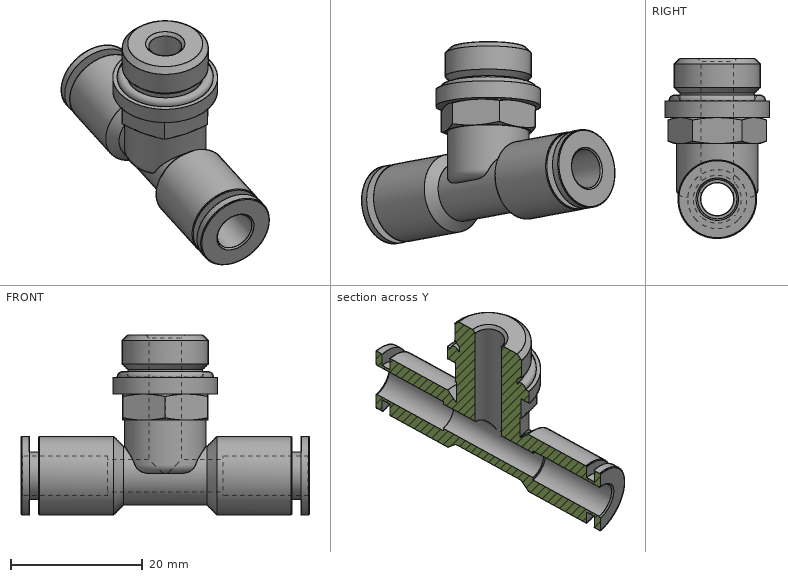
import cadquery as cq
import math

total_length = 44.0
socket_diameter = 12.0
run_neck_diameter = 9.0
collar_neck_diameter = 7.3
collar_thickness = 1.28
collar_gap = 1.4
socket_length = 11.45
edge_chamfer = 0.15

total_height = 27.5
stem_top = total_height - socket_diameter / 2
stem_diameter = 12.5
stem_bottom = 0.3
stem_bottom_round = 1.3
hex_across_flats = 13.02
hex_bottom = 8.5
hex_top = 12.45
hex_chamfer_angle = 20.0
flange_diameter = 16.0
flange_top = 15.0
seal_section_diameter = 1.65
seal_top = 15.9
thread_diameter = 13.15
thread_relief_diameter = 11.45
thread_bottom = 17.05
thread_chamfer = (thread_diameter - thread_relief_diameter) / 2
thread_tip_height = 0.85

passage_diameter = 5.0
tube_diameter = 6.0
tube_depth = 13.2
tube_mouth_diameter = 6.45
stem_mouth_diameter = 6.0

half_length = total_length / 2


def revolve_about_z(profile):
    return profile.close().revolve(360, (0, 0, 0), (0, 1, 0))


def make_run():
    """Revolved run, symmetric about the stem axis, from collar to collar."""
    socket_radius = socket_diameter / 2
    neck_radius = run_neck_diameter / 2
    collar_neck_radius = collar_neck_diameter / 2
    collar_inner = half_length - collar_thickness
    socket_outer = collar_inner - collar_gap
    socket_inner = socket_outer - socket_length
    cone_inner = socket_inner - (socket_radius - neck_radius)
    right_side = [
        (cone_inner, neck_radius),
        (socket_inner, socket_radius),
        (socket_outer - edge_chamfer, socket_radius),
        (socket_outer, socket_radius - edge_chamfer),
        (socket_outer, collar_neck_radius),
        (collar_inner, collar_neck_radius),
        (collar_inner, socket_radius),
        (half_length - edge_chamfer, socket_radius),
        (half_length, socket_radius - edge_chamfer),
        (half_length, 0),
    ]
    left_side = [(-x, radius) for x, radius in reversed(right_side)]
    return (
        cq.Workplane("XY")
        .polyline(left_side + right_side)
        .close()
        .revolve(360, (0, 0, 0), (1, 0, 0))
    )


def make_trunk():
    """Round trunk with a rounded lower edge."""
    return (
        cq.Workplane("XY", origin=(0, 0, stem_bottom))
        .circle(stem_diameter / 2)
        .extrude(hex_bottom - stem_bottom)
        .faces("<Z").edges().fillet(stem_bottom_round)
    )


def make_hex():
    """Hexagon with corners on the Y axis, chamfered at both ends."""
    corner_radius = hex_across_flats / math.sqrt(3)
    flat_radius = hex_across_flats / 2
    chamfer_height = (corner_radius - flat_radius) * math.tan(math.radians(hex_chamfer_angle))
    prism = (
        cq.Workplane("XY", origin=(0, 0, hex_bottom))
        .polygon(6, 2 * corner_radius)
        .extrude(hex_top - hex_bottom)
        .rotate((0, 0, 0), (0, 0, 1), 90)
    )
    envelope = revolve_about_z(
        cq.Workplane("XZ").polyline([
            (0, hex_bottom),
            (flat_radius, hex_bottom),
            (corner_radius, hex_bottom + chamfer_height),
            (corner_radius, hex_top - chamfer_height),
            (flat_radius, hex_top),
            (0, hex_top),
        ])
    )
    return prism.intersect(envelope)


def make_threaded_end():
    """Flange, relief groove and plain thread cylinder."""
    thread_radius = thread_diameter / 2
    relief_radius = thread_relief_diameter / 2
    return revolve_about_z(
        cq.Workplane("XZ")
        .moveTo(0, hex_top)
        .lineTo(flange_diameter / 2, hex_top)
        .lineTo(flange_diameter / 2, flange_top)
        .lineTo(relief_radius, flange_top)
        .lineTo(relief_radius, thread_bottom - thread_chamfer)
        .lineTo(thread_radius, thread_bottom)
        .lineTo(thread_radius, stem_top - thread_tip_height)
        .lineTo(relief_radius, stem_top)
        .lineTo(0, stem_top)
    )


def make_seal_ring():
    """Round-section seal ring, partly sunk into the flange."""
    section_radius = seal_section_diameter / 2
    ring_radius = thread_relief_diameter / 2 + section_radius
    return (
        cq.Workplane("XZ")
        .center(ring_radius, seal_top - section_radius)
        .circle(section_radius)
        .revolve(360, (-ring_radius, 0, 0), (-ring_radius, 1, 0))
    )


def make_run_bore():
    """Through passage with a wider, chamfered tube bore at each end."""
    bore = cq.Workplane("YZ").circle(passage_diameter / 2).extrude(half_length, both=True)
    mouth_chamfer = (tube_mouth_diameter - tube_diameter) / 2
    tube_bore = (
        cq.Workplane("YZ", origin=(half_length - tube_depth, 0, 0))
        .circle(tube_diameter / 2)
        .extrude(tube_depth)
    )
    mouth = (
        cq.Workplane("YZ", origin=(half_length, 0, 0))
        .circle(tube_mouth_diameter / 2)
        .workplane(offset=-mouth_chamfer)
        .circle(tube_diameter / 2)
        .loft()
    )
    end_bore = tube_bore.union(mouth)
    return bore.union(end_bore).union(end_bore.mirror("YZ"))


def make_stem_bore():
    """Bore from the run axis to a chamfered mouth at the top."""
    passage_radius = passage_diameter / 2
    mouth_radius = stem_mouth_diameter / 2
    return revolve_about_z(
        cq.Workplane("XZ").polyline([
            (0, 0),
            (passage_radius, 0),
            (passage_radius, stem_top - (mouth_radius - passage_radius)),
            (mouth_radius, stem_top),
            (0, stem_top),
        ])
    )


body = make_run()
for section in (make_trunk(), make_hex(), make_threaded_end(), make_seal_ring()):
    body = body.union(section)

result = body.cut(make_run_bore()).cut(make_stem_bore())